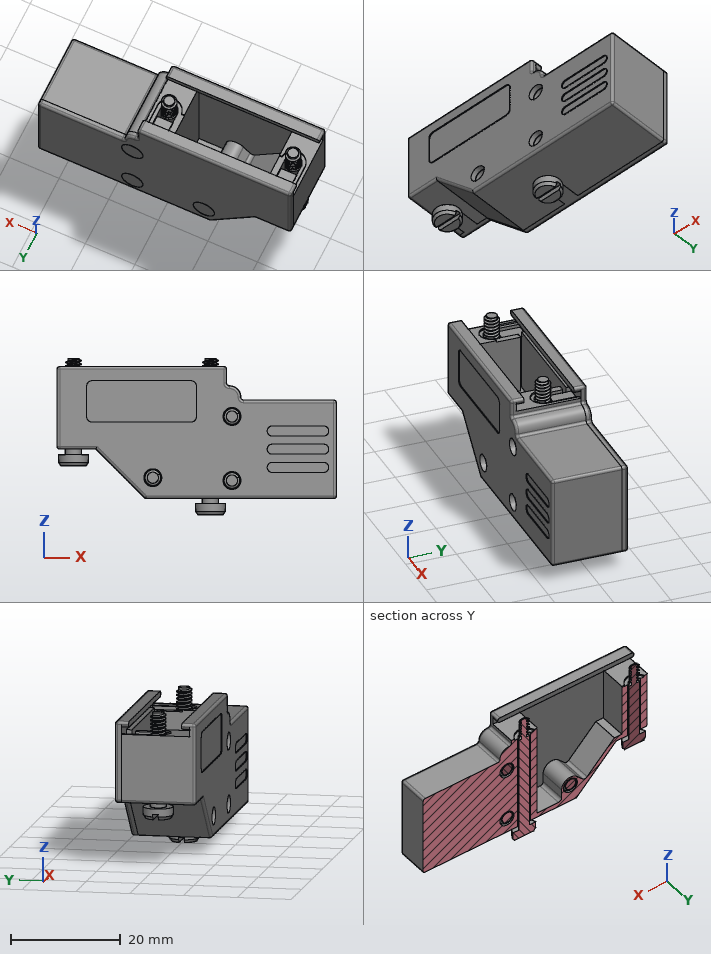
import cadquery as cq
import math

LENGTH = 51.0
OVERALL_DEPTH = 15.05
SCREW_HEAD_RISE = 0.05
DEPTH = OVERALL_DEPTH - SCREW_HEAD_RISE
FRONT_Y = -OVERALL_DEPTH / 2
BACK_Y = FRONT_Y + DEPTH
EDGE_RADIUS = 0.5
WALL = 1.1
COVER_PLATE = 1.2
PARTING_Y = BACK_Y - COVER_PLATE

MOUTH_Z = 24.1
MOUTH_LENGTH = 30.95
SHOULDER_Z = 18.0
NOSE_Z = 9.05
SLOPE_BOTTOM_X = 16.1
SLOPE_ANGLE = math.radians(45)
SLOPE_TOP_X = SLOPE_BOTTOM_X - NOSE_Z / math.tan(SLOPE_ANGLE)
STEP_CORNER = 0.5
STEP_BULGE = 2.1

LIP_WIDTH = 2.6
LIP_EDGE_Y = -FRONT_Y - LIP_WIDTH
LIP_THICKNESS = 1.05
LIP_END_RADIUS = 0.45
CHANNEL_DEPTH = 2.35
FLANGE_Z = MOUTH_Z - CHANNEL_DEPTH
LIP_UNDERSIDE_Z = MOUTH_Z - LIP_THICKNESS

JACKSCREW_X = (3.0, 28.0)
HEAD_BOTTOM_Z = (5.95, -2.95)
UNDERSIDE_Z = (NOSE_Z, 0.0)
JACKSCREW_TIP_Z = 25.55
CAVITY_LEFT = 5.85
CAVITY_RIGHT = 25.05
SLOT_WIDTH = 3.25
RECESS_WIDTH = 4.7
RECESS_DEPTH = 0.3
NOTCH_FRONT_Y = -0.2
NOTCH_BACK_Y = 4.55
TONGUE_FRONT_Y = 1.7
TONGUE_DROP = 0.95
PAD_FRONT_Y = 5.2

SHANK_DIAMETER = 3.0
THREAD_DIAMETER = 2.85
THREAD_PITCH = 0.65
THREAD_GROOVE = 0.4
THREAD_LENGTH = 4.65
THREAD_BASE = 0.6
THREAD_CREST = 0.1
THREAD_OVERLAP = 0.1
HEAD_DIAMETER = 5.5
HEAD_HEIGHT = 2.1
HEAD_BEVEL_HEIGHT = 0.6
HEAD_BEVEL_INSET = 0.4
DRIVER_SLOT_WIDTH = 1.0
DRIVER_SLOT_DEPTH = 1.05

LOW_SCREW = (17.5, 3.8)
ASSEMBLY_SCREWS = (LOW_SCREW, (31.95, 15.0), (31.95, 3.3))
SCREW_HOLE = 3.05
SCREW_MOUTH = 3.25
SCREW_HEAD_DIAMETER = 4.3
SCREW_TIP_DEPTH = 2.55
BOSS_RADIUS = 2.05
BOSS_FILLET = 0.7

POCKET_DEPTH = 0.2
LABEL_LEFT = 5.4
LABEL_WIDTH = 20.05
LABEL_BOTTOM = 13.95
LABEL_HEIGHT = 7.55
LABEL_CORNER = 1.0
GRIP_CENTER_X = 43.95
GRIP_LENGTH = 11.2
GRIP_WIDTH = 1.85
GRIP_MIDDLE_Z = 9.05
GRIP_SPACING = 3.3


def box(x_min, x_max, y_min, y_max, z_min, z_max):
    """Axis-aligned block between two corners."""
    size = (x_max - x_min, y_max - y_min, z_max - z_min)
    return cq.Workplane("XY").box(*size, centered=False).translate((x_min, y_min, z_min))


def side_profile(y):
    """Workplane at a given Y whose sketch axes are X and Z; its normal points to the front."""
    return cq.Workplane(cq.Plane(origin=(0, y, 0), xDir=(1, 0, 0), normal=(0, -1, 0)))


def extrude_back(sketch, distance):
    """Extrude a side-profile sketch toward the back."""
    return sketch.extrude(-distance)


def outer_shell():
    """Solid outer form of the closed hood, with all its convex edges rounded."""
    quarter = math.sqrt(0.5)
    corner_x = MOUTH_LENGTH + STEP_CORNER
    bulge_z = SHOULDER_Z + STEP_CORNER
    bulge_top = bulge_z + STEP_BULGE
    end_x = corner_x + STEP_BULGE + STEP_CORNER
    middle = STEP_CORNER * (1 - quarter)
    profile = (
        side_profile(FRONT_Y)
        .moveTo(0, NOSE_Z)
        .lineTo(0, MOUTH_Z)
        .lineTo(MOUTH_LENGTH, MOUTH_Z)
        .lineTo(MOUTH_LENGTH, bulge_top + STEP_CORNER)
        .threePointArc((MOUTH_LENGTH + middle, bulge_top + middle), (corner_x, bulge_top))
        .threePointArc(
            (corner_x + STEP_BULGE * quarter, bulge_z + STEP_BULGE * quarter),
            (corner_x + STEP_BULGE, bulge_z),
        )
        .threePointArc((end_x - STEP_CORNER * quarter, SHOULDER_Z + middle), (end_x, SHOULDER_Z))
        .lineTo(LENGTH, SHOULDER_Z)
        .lineTo(LENGTH, 0)
        .lineTo(SLOPE_BOTTOM_X, 0)
        .lineTo(SLOPE_TOP_X, NOSE_Z)
        .close()
    )
    shell = extrude_back(profile, DEPTH)
    square_corners = (
        (0, MOUTH_Z),
        (0, NOSE_Z),
        (MOUTH_LENGTH, MOUTH_Z),
        (LENGTH, SHOULDER_Z),
        (LENGTH, 0),
    )
    for x, z in square_corners:
        shell = shell.edges(cq.selectors.NearestToPointSelector((x, 0, z))).fillet(EDGE_RADIUS)
    return shell.faces("<Y or >Y").edges().fillet(EDGE_RADIUS)


def connector_channel():
    """T-shaped channel through the mouth that leaves a lip along each side."""
    wide = box(0, MOUTH_LENGTH, FRONT_Y + WALL, PARTING_Y, FLANGE_Z, LIP_UNDERSIDE_Z)
    narrow = box(0, MOUTH_LENGTH, -LIP_EDGE_Y, LIP_EDGE_Y, LIP_UNDERSIDE_Z, MOUTH_Z)
    return wide.union(narrow)


def hollow_body():
    """Outer shell with the connector channel cut and the lip ends rounded underneath."""
    body = outer_shell().cut(connector_channel())
    lip_middle = LIP_EDGE_Y + (LIP_WIDTH - WALL) / 2
    for x in (0, MOUTH_LENGTH):
        for y in (-lip_middle, lip_middle):
            lip_end = cq.selectors.NearestToPointSelector((x, y, LIP_UNDERSIDE_Z))
            body = body.edges("|Y").edges(lip_end).fillet(LIP_END_RADIUS)
    return body


def low_boss(y_min, y_max):
    """Boss for the low screw, with webs down to the floor and square to the slope."""
    x, z = LOW_SCREW
    boss = extrude_back(side_profile(y_min).center(x, z).circle(BOSS_RADIUS), y_max - y_min)
    web = box(x - BOSS_RADIUS, x + BOSS_RADIUS, y_min, y_max, 0, z)
    slope_web = web.rotate((x, 0, z), (x, 1, z), math.degrees(SLOPE_ANGLE))
    return boss.union(web).union(slope_web)


def cavity(y_min, y_max, left=CAVITY_LEFT, right=CAVITY_RIGHT):
    """Wiring space between the pods, less the boss of the low screw, whose foot is blended."""
    wall_shift = WALL * math.tan(SLOPE_ANGLE / 2)
    floor_x = SLOPE_BOTTOM_X + wall_shift
    slope_x = SLOPE_TOP_X + wall_shift
    outline = (
        side_profile(y_min)
        .moveTo(left, FLANGE_Z)
        .lineTo(right, FLANGE_Z)
        .lineTo(right, WALL)
        .lineTo(floor_x, WALL)
        .lineTo(slope_x, NOSE_Z + WALL)
        .lineTo(left, NOSE_Z + WALL)
        .close()
    )
    space = extrude_back(outline, y_max - y_min).cut(low_boss(y_min, y_max))
    x, z = LOW_SCREW
    inner_slope = floor_x + WALL
    web_offset = BOSS_RADIUS * math.sqrt(2)
    slope_corner_x = (inner_slope - (z - x) - web_offset) / 2
    foot_corners = (
        (x + BOSS_RADIUS, WALL),
        (slope_corner_x, inner_slope - slope_corner_x),
    )
    for corner_x, corner_z in foot_corners:
        corner = cq.selectors.NearestToPointSelector((corner_x, (y_min + y_max) / 2, corner_z))
        space = space.edges(corner).fillet(BOSS_FILLET)
    return space


def cavity_back(y_min):
    """Back part of the cavity, widened to reach the jackscrew slots."""
    left = JACKSCREW_X[0] + SLOT_WIDTH / 2
    right = JACKSCREW_X[1] - SLOT_WIDTH / 2
    return cavity(y_min, PARTING_Y, left, right)


def u_slot(x, width, bottom_z, top_z):
    """U-shaped prism about a jackscrew: round toward the front and open toward the cover."""
    straight = box(x - width / 2, x + width / 2, 0, PARTING_Y, bottom_z, top_z)
    round_end = cq.Workplane("XY", origin=(x, 0, bottom_z)).circle(width / 2).extrude(top_z - bottom_z)
    return straight.union(round_end)


def flange_recess(x, inner_x):
    """Shallow recess around a jackscrew slot, with a notch to the cavity edge at inner_x."""
    bottom_z = FLANGE_Z - RECESS_DEPTH
    pocket = u_slot(x, RECESS_WIDTH, bottom_z, FLANGE_Z)
    notch = box(min(x, inner_x), max(x, inner_x), NOTCH_FRONT_Y, NOTCH_BACK_Y, bottom_z, FLANGE_Z)
    return pocket.union(notch)


def screw_holes(y_min, y_max, diameter):
    """Cylinders on the axes of the assembly screws."""
    holes = side_profile(y_min).pushPoints(ASSEMBLY_SCREWS).circle(diameter / 2)
    return extrude_back(holes, y_max - y_min)


def front_pockets():
    """Label panel and grip slots sunk into the front face."""
    label_center = (LABEL_LEFT + LABEL_WIDTH / 2, LABEL_BOTTOM + LABEL_HEIGHT / 2)
    label = extrude_back(
        side_profile(FRONT_Y).center(*label_center).rect(LABEL_WIDTH, LABEL_HEIGHT), POCKET_DEPTH
    )
    pockets = label.edges("|Y").fillet(LABEL_CORNER)
    for step in (-1, 0, 1):
        center = (GRIP_CENTER_X, GRIP_MIDDLE_Z + step * GRIP_SPACING)
        grip = side_profile(FRONT_Y).center(*center).slot2D(GRIP_LENGTH, GRIP_WIDTH)
        pockets = pockets.union(extrude_back(grip, POCKET_DEPTH))
    return pockets


def cover_region():
    """Part of the shell that belongs to the cover: the back plate and the back lip."""
    plate = box(0, LENGTH, PARTING_Y, BACK_Y, 0, MOUTH_Z)
    back_lip = box(0, MOUTH_LENGTH, 0, BACK_Y, LIP_UNDERSIDE_Z, MOUTH_Z)
    return plate.union(back_lip)


def make_housing(hollow_shell):
    """Tray with the front wall, the pods and the cable end, open toward the cover."""
    housing = hollow_shell.cut(cover_region())
    housing = housing.cut(cavity(FRONT_Y + WALL, PARTING_Y)).cut(cavity_back(NOTCH_BACK_Y))
    for x, bottom_z, inner_x in zip(JACKSCREW_X, UNDERSIDE_Z, (CAVITY_LEFT, CAVITY_RIGHT)):
        slot = u_slot(x, SLOT_WIDTH, bottom_z, FLANGE_Z)
        housing = housing.cut(slot).cut(flange_recess(x, inner_x))
    housing = housing.cut(screw_holes(FRONT_Y, PARTING_Y, SCREW_HOLE))
    housing = housing.cut(screw_holes(FRONT_Y, FRONT_Y + WALL, SCREW_MOUTH))
    return housing.cut(front_pockets())


def make_cover(hollow_shell):
    """Back plate with its lip, the pad that plugs the cavity and the two slot tongues."""
    cover = hollow_shell.intersect(cover_region())
    cover = cover.union(cavity_back(PAD_FRONT_Y))
    for x, bottom_z in zip(JACKSCREW_X, UNDERSIDE_Z):
        tongue = box(
            x - SLOT_WIDTH / 2, x + SLOT_WIDTH / 2,
            TONGUE_FRONT_Y, PARTING_Y,
            bottom_z, FLANGE_Z - TONGUE_DROP,
        )
        cover = cover.union(tongue)
    return cover.cut(screw_holes(PARTING_Y, BACK_Y, SCREW_HEAD_DIAMETER))


def threaded_tip():
    """Threaded end along +Z that starts at Z = 0: a root cylinder with a helical ridge."""
    root_radius = THREAD_DIAMETER / 2 - THREAD_GROOVE
    foot_radius = root_radius - THREAD_OVERLAP
    base_half = THREAD_BASE / 2
    crest_half = THREAD_CREST / 2
    helix = cq.Wire.makeHelix(THREAD_PITCH, THREAD_LENGTH - 2 * base_half, THREAD_DIAMETER / 2)
    ridge_section = cq.Workplane("XZ").polyline([
        (foot_radius, -base_half),
        (THREAD_DIAMETER / 2, -crest_half),
        (THREAD_DIAMETER / 2, crest_half),
        (foot_radius, base_half),
    ]).close()
    ridge = ridge_section.sweep(cq.Workplane(helix), isFrenet=True).translate((0, 0, base_half))
    return cq.Workplane("XY").circle(root_radius).extrude(THREAD_LENGTH).union(ridge)


def make_jackscrew(x, bottom_z):
    """Slotted cheese-head screw pointing up."""
    head = cq.Workplane("XY").circle(HEAD_DIAMETER / 2).extrude(HEAD_HEIGHT)
    head = head.faces("<Z").chamfer(HEAD_BEVEL_HEIGHT, HEAD_BEVEL_INSET)
    driver_slot = box(
        -HEAD_DIAMETER, HEAD_DIAMETER, -DRIVER_SLOT_WIDTH / 2, DRIVER_SLOT_WIDTH / 2, 0, DRIVER_SLOT_DEPTH
    )
    shank_top = JACKSCREW_TIP_Z - bottom_z - THREAD_LENGTH
    shank = cq.Workplane("XY").circle(SHANK_DIAMETER / 2).extrude(shank_top)
    screw = head.union(shank).cut(driver_slot).union(threaded_tip().translate((0, 0, shank_top)))
    return screw.translate((x, 0, bottom_z))


def make_assembly_screw(x, z):
    """Screw that clamps the cover to the housing, its threaded end toward the front."""
    head_height = COVER_PLATE + SCREW_HEAD_RISE
    shank_end = OVERALL_DEPTH - SCREW_TIP_DEPTH - THREAD_LENGTH
    head = cq.Workplane("XY").circle(SCREW_HEAD_DIAMETER / 2).extrude(head_height)
    shank = cq.Workplane("XY").circle(SCREW_HOLE / 2).extrude(shank_end)
    screw = head.union(shank).union(threaded_tip().translate((0, 0, shank_end)))
    return screw.rotate((0, 0, 0), (1, 0, 0), 90).translate((x, BACK_Y + SCREW_HEAD_RISE, z))


hollow_shell = hollow_body()
housing = make_housing(hollow_shell)
cover = make_cover(hollow_shell)
jackscrews = [make_jackscrew(x, bottom_z) for x, bottom_z in zip(JACKSCREW_X, HEAD_BOTTOM_Z)]
assembly_screws = [make_assembly_screw(x, z) for x, z in ASSEMBLY_SCREWS]

bodies = [housing, cover, *jackscrews, *assembly_screws]
result = cq.Compound.makeCompound([body.solids().val() for body in bodies])